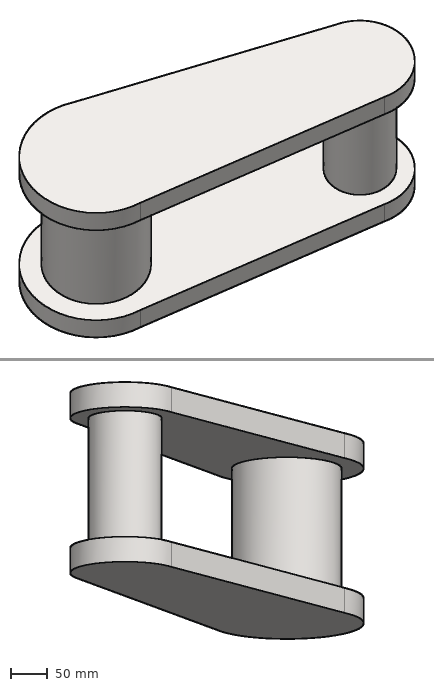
import cadquery as cq

total_length = 580.0
total_height = 250.0
large_end_radius = 105.0
small_end_radius = 75.0
plate_thickness = 35.0
large_post_radius = 75.0
small_post_radius = 50.0

centre_distance = total_length - large_end_radius - small_end_radius
post_height = total_height - 2 * plate_thickness


def make_disc(radius, centre_y, bottom_z, height):
    """Upright round body centred on the YZ plane."""
    return (
        cq.Workplane("XY", origin=(0, centre_y, bottom_z))
        .circle(radius)
        .extrude(height)
    )


def make_plate(bottom_z):
    """Round ends joined by a trapezoid as wide as each end at its centre."""
    web = (
        cq.Workplane("XY", origin=(0, 0, bottom_z))
        .polyline([
            (-large_end_radius, 0),
            (large_end_radius, 0),
            (small_end_radius, centre_distance),
            (-small_end_radius, centre_distance),
        ])
        .close()
        .extrude(plate_thickness)
    )
    large_end = make_disc(large_end_radius, 0, bottom_z, plate_thickness)
    small_end = make_disc(small_end_radius, centre_distance, bottom_z, plate_thickness)
    return web.union(large_end).union(small_end).clean()


large_post = make_disc(large_post_radius, 0, plate_thickness, post_height)
small_post = make_disc(small_post_radius, centre_distance, plate_thickness, post_height)
bottom_plate = make_plate(0)
top_plate = make_plate(plate_thickness + post_height)

result = bottom_plate.union(large_post).union(small_post).union(top_plate)